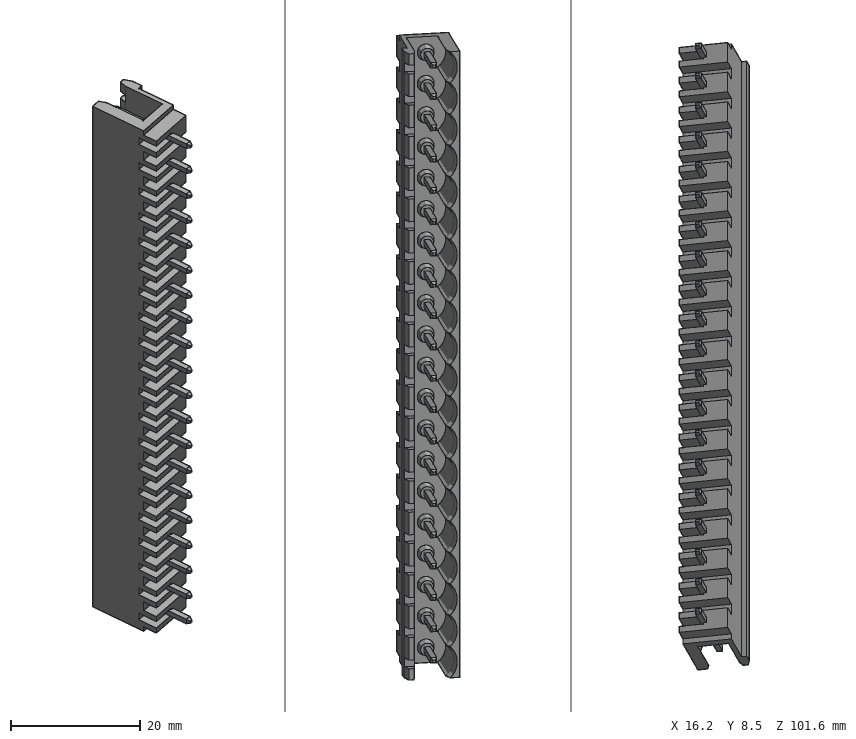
import cadquery as cq
import math

pin_count = 20
length = 101.6
pitch = length / pin_count
pin_y = 3.9
pin_side = 0.9
pin_front_x = 0.9
pin_back_x = 16.2
pin_taper = 0.6
tip_side = 0.4
pin_heights = [(index + 0.5) * pitch for index in range(pin_count)]

body_depth = 9.9
floor_x = 8.3
wall_top = 7.7
groove_top = 6.9
lip_top = 8.5
lip_length = 3.1
lip_lead_top = 8.0
lip_lead_length = 1.4
groove_flare = 0.3
scallop_flare = 0.3
mouth_length = 1.2
cusp_y = 2.0

lip_notch_width = 1.4
lip_notch_depth = 1.2
collar_front_x = 7.1
collar_front_radius = 1.0
collar_base_radius = 1.3
standoff_back_x = 12.3
standoff_width = 3.4
slot_front_x = 8.9
slot_shelf_length = 0.6
slot_shelf_depth = 2.0
slot_width = 1.3

scallop_radius = math.hypot(pin_y - cusp_y, pitch / 2)


def make_body():
    """U-shaped channel with a latching lip along its upper wall."""
    outline = [
        (0, 0),
        (body_depth, 0),
        (body_depth, wall_top),
        (lip_length, wall_top),
        (lip_length, lip_top),
        (lip_lead_length, lip_top),
        (0, lip_lead_top),
        (0, groove_top + groove_flare),
        (mouth_length, groove_top),
        (floor_x, groove_top),
        (floor_x, cusp_y),
        (0, cusp_y),
    ]
    return cq.Workplane("XY").polyline(outline).close().extrude(length)


def along_x(z, start_x):
    """Workplane facing +X, centred on the axis of the pin at height z."""
    return cq.Workplane("YZ", origin=(start_x, pin_y, z))


def make_scallop(z):
    """Round recess in the lower wall around one pin, flared at the mouth."""
    bore = along_x(z, 0).circle(scallop_radius).extrude(floor_x)
    mouth = (
        along_x(z, 0)
        .circle(scallop_radius + scallop_flare)
        .workplane(offset=mouth_length)
        .circle(scallop_radius)
        .loft()
    )
    lower_side = cq.Workplane("XY").box(floor_x, pin_y, length, centered=False)
    return bore.union(mouth).intersect(lower_side)


def make_lip_notch(z):
    """Gap through the front edge of the upper wall."""
    return (
        cq.Workplane("XY", origin=(0, groove_top, z))
        .box(lip_notch_depth, lip_top - groove_top, lip_notch_width, centered=(False, False, True))
    )


def make_standoff(z):
    """Foot behind the body."""
    return (
        cq.Workplane("XY", origin=(body_depth, 0, z))
        .box(standoff_back_x - body_depth, wall_top, standoff_width, centered=(False, False, True))
    )


def make_slot(z):
    """Slot from the -Y side to the pin, with a shallow shelf at its front end."""
    outline = [
        (slot_front_x, 0),
        (standoff_back_x, 0),
        (standoff_back_x, pin_y),
        (slot_front_x + slot_shelf_length, pin_y),
        (slot_front_x + slot_shelf_length, slot_shelf_depth),
        (slot_front_x, slot_shelf_depth),
    ]
    return (
        cq.Workplane("XY", origin=(0, 0, z - slot_width / 2))
        .polyline(outline)
        .close()
        .extrude(slot_width)
    )


def make_pin(z):
    """Square pin tapered at both ends, with a conical collar on the channel floor."""
    shank_front_x = pin_front_x + pin_taper
    shank_back_x = pin_back_x - pin_taper
    shank = along_x(z, shank_front_x).rect(pin_side, pin_side).extrude(shank_back_x - shank_front_x)
    front_tip = (
        along_x(z, pin_front_x)
        .rect(tip_side, tip_side)
        .workplane(offset=pin_taper)
        .rect(pin_side, pin_side)
        .loft()
    )
    back_tip = (
        along_x(z, shank_back_x)
        .rect(pin_side, pin_side)
        .workplane(offset=pin_taper)
        .rect(tip_side, tip_side)
        .loft()
    )
    collar = (
        along_x(z, collar_front_x)
        .circle(collar_front_radius)
        .workplane(offset=floor_x - collar_front_x)
        .circle(collar_base_radius)
        .loft()
    )
    return shank.union(front_tip).union(back_tip).union(collar)


def at_every_pin(make_feature):
    """All copies of one feature, for a single boolean operation."""
    return cq.Workplane("XY").newObject(
        [cq.Compound.makeCompound([make_feature(z).val() for z in pin_heights])]
    )


result = make_body()
for make_cut in (make_scallop, make_lip_notch):
    for z in pin_heights:
        result = result.cut(make_cut(z))
result = result.union(at_every_pin(make_standoff))
result = result.cut(at_every_pin(make_slot))
result = result.union(at_every_pin(make_pin))